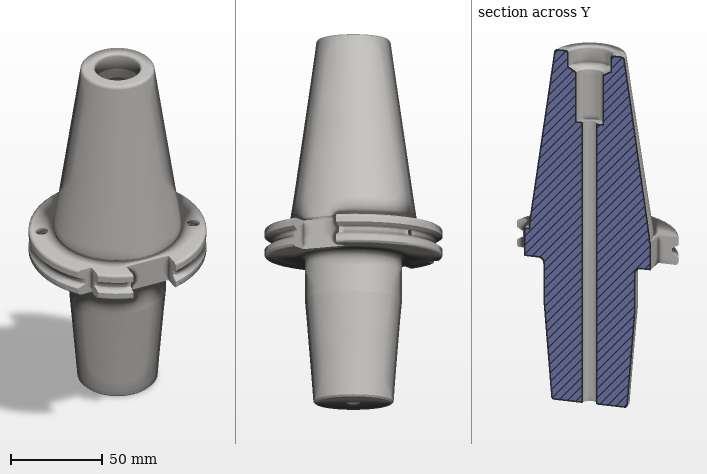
import cadquery as cq
import math

total_height = 201.8
taper_base_z = 98.9
flange_top_z = 96.8
flange_bottom_z = 81.0
neck_bottom_z = 57.5

taper_base_radius = 35.1
taper_slope = 7 / 24 / 2
tip_radius = taper_base_radius - taper_slope * (total_height - taper_base_z)
tip_fillet = 2.0
relief_top_z = 98.3
relief_depth = 0.2

flange_diameter = 97.5
flange_radius = flange_diameter / 2
flange_rim_fillet = 1.6
groove_radius = 45.2
groove_z = 88.8
groove_floor_width = 3.0
groove_floor_fillet = 0.6
groove_flank_angle = 30
groove_mouth_width = groove_floor_width + 2 * (flange_radius - groove_radius) * math.tan(
    math.radians(groove_flank_angle))

neck_radius = 26.6
neck_fillet = 3.0
shank_end_radius = 22.0
shank_end_chamfer = 1.0

slot_width = 25.6
slot_left_depth_x = 35.5
slot_right_depth_x = 37.7
notch_x = 30.0
notch_y = 30.3

bore_radius = 12.5
bore_mouth_fillet = 1.5
bore_depth = 9.3
seat_outer_radius = 10.9
seat_inner_radius = 7.9
seat_depth = 12.0
seat_start_depth = 10.0
counterbore_depth = 40.4
through_radius = 4.0

coolant_circle_radius = 41.8
coolant_angles = (70, 250)
coolant_radius = 3.2
coolant_depth = 2.5
coolant_tilt = 25
coolant_feed_radius = 1.5
coolant_feed_depth = 10.0

radial_hole_radius = 1.8
radial_hole_depth = 3.0


def make_body():
    """Revolve taper, flange and shank as one profile."""
    profile = (
        cq.Workplane("XZ")
        .moveTo(0, 0)
        .lineTo(shank_end_radius - shank_end_chamfer, 0)
        .lineTo(shank_end_radius, shank_end_chamfer)
        .lineTo(neck_radius, neck_bottom_z)
        .lineTo(neck_radius, flange_bottom_z - neck_fillet)
        .radiusArc((neck_radius + neck_fillet, flange_bottom_z), neck_fillet)
        .lineTo(flange_radius - flange_rim_fillet, flange_bottom_z)
        .radiusArc((flange_radius, flange_bottom_z + flange_rim_fillet), -flange_rim_fillet)
        .lineTo(flange_radius, groove_z - groove_mouth_width / 2)
        .lineTo(groove_radius, groove_z - groove_floor_width / 2)
        .lineTo(groove_radius, groove_z + groove_floor_width / 2)
        .lineTo(flange_radius, groove_z + groove_mouth_width / 2)
        .lineTo(flange_radius, flange_top_z - flange_rim_fillet)
        .radiusArc((flange_radius - flange_rim_fillet, flange_top_z), -flange_rim_fillet)
        .lineTo(taper_base_radius - relief_depth, flange_top_z)
        .lineTo(taper_base_radius - relief_depth, relief_top_z - relief_depth)
        .lineTo(taper_base_radius, relief_top_z)
        .lineTo(taper_base_radius, taper_base_z)
        .lineTo(tip_radius, total_height)
        .lineTo(0, total_height)
        .close()
    )
    body = profile.revolve(360, (0, 0, 0), (0, 1, 0))
    body = body.faces(">Z").edges().fillet(tip_fillet)
    reach = groove_floor_width
    floor_edges = cq.selectors.BoxSelector(
        (-reach, -reach, groove_z - reach), (reach, reach, groove_z + reach))
    return body.edges(floor_edges).fillet(groove_floor_fillet)


def make_bore():
    """Stepped bore from the taper end, with a through hole along the axis."""
    return (
        cq.Workplane("XZ")
        .moveTo(0, 0)
        .lineTo(through_radius, 0)
        .lineTo(through_radius, total_height - counterbore_depth)
        .lineTo(seat_inner_radius, total_height - counterbore_depth)
        .lineTo(seat_inner_radius, total_height - seat_depth)
        .lineTo(seat_outer_radius, total_height - seat_start_depth)
        .lineTo(bore_radius, total_height - bore_depth)
        .lineTo(bore_radius, total_height - bore_mouth_fillet)
        .radiusArc((bore_radius + bore_mouth_fillet, total_height), bore_mouth_fillet)
        .lineTo(0, total_height)
        .close()
        .revolve(360, (0, 0, 0), (0, 1, 0))
    )


def flange_cut(x_from, x_to, y_from, y_to):
    """Block over the whole flange height between the given X and Y limits."""
    return cq.Workplane("XY").box(
        x_to - x_from, y_to - y_from, flange_top_z - flange_bottom_z, centered=False
    ).translate((x_from, y_from, flange_bottom_z))


def make_coolant_hole(angle):
    """Hole leaning towards the axis as it goes down, with a narrower feed."""
    tilt = math.radians(coolant_tilt)
    start = cq.Vector(coolant_circle_radius, 0, flange_top_z)
    direction = cq.Vector(-math.sin(tilt), 0, -math.cos(tilt))
    above = start - direction * coolant_radius
    hole = cq.Solid.makeCylinder(coolant_radius, coolant_radius + coolant_depth, above, direction)
    feed = cq.Solid.makeCylinder(coolant_feed_radius, coolant_feed_depth, start, direction)
    return cq.Workplane(hole).union(cq.Workplane(feed)).rotate((0, 0, 0), (0, 0, 1), angle)


def make_radial_hole(angle):
    """Blind hole running from the groove floor towards the axis."""
    start = cq.Vector(flange_radius, 0, groove_z)
    length = flange_radius - groove_radius + radial_hole_depth
    hole = cq.Solid.makeCylinder(radial_hole_radius, length, start, cq.Vector(-1, 0, 0))
    return cq.Workplane(hole).rotate((0, 0, 0), (0, 0, 1), angle)


result = make_body().cut(make_bore())

half_slot = slot_width / 2
result = result.cut(flange_cut(-flange_radius, -slot_left_depth_x, -half_slot, half_slot))
result = result.cut(flange_cut(slot_right_depth_x, flange_radius, -half_slot, half_slot))
result = result.cut(flange_cut(notch_x, flange_radius, -flange_radius, -notch_y))

for angle in coolant_angles:
    result = result.cut(make_coolant_hole(angle)).cut(make_radial_hole(angle))